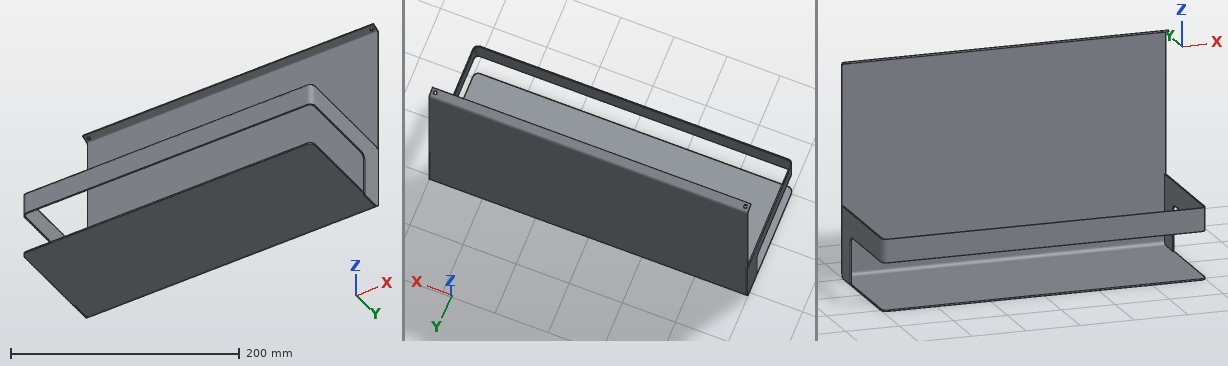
import math

import cadquery as cq

WIDTH = 300.0
DEPTH = 110.0
HEIGHT = 199.8
SHEET = 1.5
GUARD_SHEET = 1.2
BEND_RADIUS = 5.0

LIP_REACH = 9.3
LIP_BEND_RADIUS = 3.0
LIP_SLOPE = math.radians(20)
LIP_HOLE_DIAMETER = 3.0
LIP_HOLE_EDGE = 4.0
LIP_HOLE_SETBACK = 5.5

GUARD_TOP = 66.0
RAIL_HEIGHT = 21.5
LEG_DEPTH = 22.8
LEG_FILLET = 6.0

INNER_WIDTH = WIDTH - 2 * GUARD_SHEET


def make_rack():
    """Shelf, back panel and lip folded from one sheet."""
    slope_sin = math.sin(LIP_SLOPE)
    slope_cos = math.cos(LIP_SLOPE)
    slope_tan = math.tan(LIP_SLOPE)
    tip_top_y = -LIP_REACH + SHEET * slope_sin
    fold_top = HEIGHT + tip_top_y * slope_tan
    tip_bottom_z = HEIGHT - SHEET * slope_cos
    fold_bottom = tip_bottom_z - (LIP_REACH - SHEET) * slope_tan
    inner_radius = BEND_RADIUS - SHEET
    diagonal = math.sqrt(0.5)

    rack = (
        cq.Workplane("YZ")
        .moveTo(-DEPTH, 0)
        .lineTo(-BEND_RADIUS, 0)
        .threePointArc(
            (-BEND_RADIUS * (1 - diagonal), BEND_RADIUS * (1 - diagonal)),
            (0, BEND_RADIUS),
        )
        .lineTo(0, fold_top)
        .lineTo(tip_top_y, HEIGHT)
        .lineTo(-LIP_REACH, tip_bottom_z)
        .lineTo(-SHEET, fold_bottom)
        .lineTo(-SHEET, BEND_RADIUS)
        .threePointArc(
            (-BEND_RADIUS + inner_radius * diagonal, BEND_RADIUS - inner_radius * diagonal),
            (-BEND_RADIUS, SHEET),
        )
        .lineTo(-DEPTH, SHEET)
        .close()
        .extrude(WIDTH / 2, both=True)
    )
    for fold_y, fold_z, radius in (
        (0, fold_top, LIP_BEND_RADIUS),
        (-SHEET, fold_bottom, LIP_BEND_RADIUS - SHEET),
    ):
        rack = rack.edges(cq.selectors.NearestToPointSelector((0, fold_y, fold_z))).fillet(radius)

    rack = rack.edges("|Z and <Y").fillet(BEND_RADIUS)

    for side in (-1, 1):
        notch = (
            cq.Workplane("XY")
            .box(GUARD_SHEET, LEG_DEPTH, GUARD_TOP, centered=(True, False, False))
            .translate((side * (WIDTH - GUARD_SHEET) / 2, -LEG_DEPTH, 0))
        )
        rack = rack.cut(notch)

    for side in (-1, 1):
        hole = (
            cq.Workplane("XY", origin=(0, 0, GUARD_TOP))
            .center(side * (WIDTH / 2 - LIP_HOLE_EDGE), -LIP_HOLE_SETBACK)
            .circle(LIP_HOLE_DIAMETER / 2)
            .extrude(HEIGHT)
        )
        rack = rack.cut(hole)
    return rack


def make_guard():
    """U-shaped band whose ends widen into legs down to the underside."""
    outer = (
        cq.Workplane("XY")
        .box(WIDTH, DEPTH, GUARD_TOP, centered=(True, False, False))
        .translate((0, -DEPTH, 0))
        .edges("|Z and <Y")
        .fillet(BEND_RADIUS)
    )
    inner = (
        cq.Workplane("XY")
        .box(INNER_WIDTH, DEPTH, GUARD_TOP, centered=(True, False, False))
        .translate((0, GUARD_SHEET - DEPTH, 0))
        .edges("|Z and <Y")
        .fillet(BEND_RADIUS - GUARD_SHEET)
    )

    opening = (
        cq.Workplane("XY")
        .box(WIDTH, DEPTH - LEG_DEPTH, GUARD_TOP - RAIL_HEIGHT, centered=(True, False, False))
        .translate((0, -DEPTH, 0))
        .edges("|X and >Y and >Z")
        .fillet(LEG_FILLET)
    )
    guard = outer.cut(inner).cut(opening)

    return guard.edges("|X and >Y and <Z").fillet(BEND_RADIUS)


rack = make_rack()
guard = make_guard()
result = cq.Compound.makeCompound([rack.val(), guard.val()])